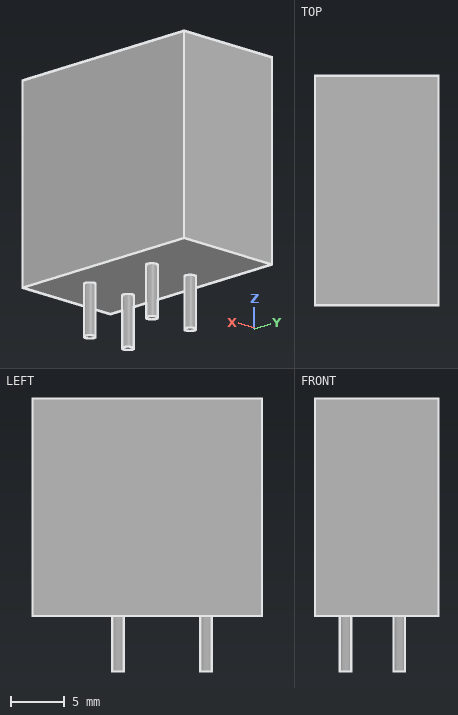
import cadquery as cq

width = 11.5
depth = 21.35
total_height = 25.38

pin_diameter = 1.1
pin_length = 5.15
pin_pitch_x = 5.0
pin_pitch_y = 8.2
first_pin_x = 2.85
first_pin_y = 5.2

housing_height = total_height - pin_length


def make_housing():
    """Plain block standing on the XY plane, centred on the Z axis."""
    return cq.Workplane("XY").box(width, depth, housing_height, centered=(True, True, False))


def make_pin(x, y):
    """Round pin hanging from the underside of the housing."""
    return cq.Workplane("XY").center(x, y).circle(pin_diameter / 2).extrude(-pin_length)


housing = make_housing()

pins = []
for column in range(2):
    for row in range(2):
        pin_x = -width / 2 + first_pin_x + column * pin_pitch_x
        pin_y = -depth / 2 + first_pin_y + row * pin_pitch_y
        pins.append(make_pin(pin_x, pin_y).val())

result = cq.Compound.makeCompound([housing.val(), *pins])